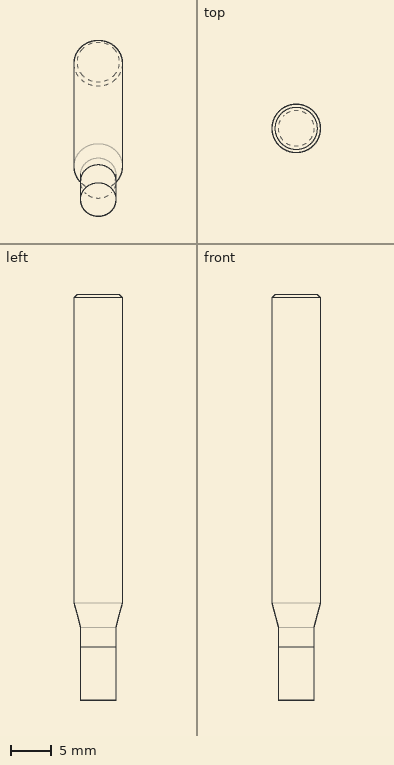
import cadquery as cq

total_length = 50.0
shank_diameter = 6.0
cutter_diameter = 4.4
neck_diameter = cutter_diameter

cutter_length = 6.6
neck_length = 2.4
taper_length = 3.0
end_chamfer = 0.4

neck_top_z = cutter_length + neck_length
taper_top_z = neck_top_z + taper_length


def make_cutter():
    """Plain cylindrical cutting section at the bottom."""
    return cq.Workplane("XY").circle(cutter_diameter / 2).extrude(cutter_length)


def make_shank():
    """Turned shank: neck, conical taper, cylinder and chamfered top end."""
    shank_radius = shank_diameter / 2
    neck_radius = neck_diameter / 2
    return (
        cq.Workplane("XZ")
        .moveTo(0, cutter_length)
        .lineTo(neck_radius, cutter_length)
        .lineTo(neck_radius, neck_top_z)
        .lineTo(shank_radius, taper_top_z)
        .lineTo(shank_radius, total_length - end_chamfer)
        .lineTo(shank_radius - end_chamfer, total_length)
        .lineTo(0, total_length)
        .close()
        .revolve(360, (0, 0, 0), (0, 1, 0))
    )


cutter = make_cutter()
shank = make_shank()

result = cq.Compound.makeCompound([cutter.val(), shank.val()])